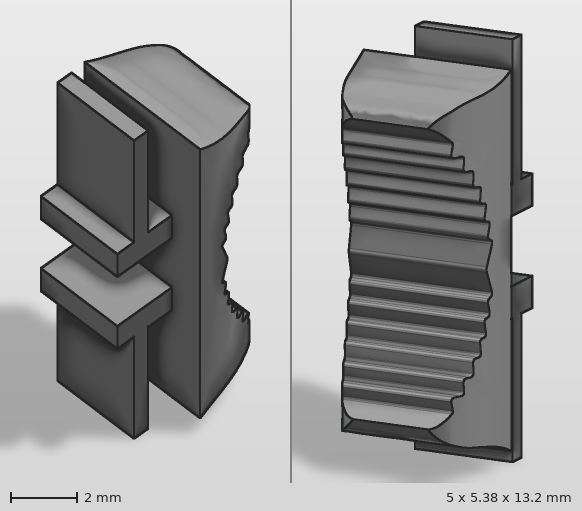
import cadquery as cq

grip_width = 5.0
grip_height = 11.9
grip_depth = 3.08
flat_width = 2.51

tip_height = 4.69
tooth_round = 0.1
center_depth = 1.32
center_round = 0.26

clip_width = 3.31
clip_left_inset = 0.48
total_height = 13.2
bar_bottom = 1.1
bar_thickness = 1.0
bar_length = 2.3
plate_gap = 1.0
plate_thickness = 0.6

end_curve = [
    (0.66, 5.68),
    (1.31, 5.52),
    (2.0, 5.41),
    (2.55, 5.25),
    (2.9, 5.05),
    (grip_depth, tip_height),
]

first_root = (2.61, 4.2)
teeth = [
    ((2.69, 3.74), (2.2, 3.74)),
    ((2.26, 3.22), (1.86, 3.22)),
    ((1.87, 2.68), (1.55, 2.65)),
    ((1.6, 2.11), (1.31, 2.09)),
    ((1.41, 1.55), (1.14, 1.47)),
    ((1.25, 0.98), (1.02, 0.83)),
]

side_curve = [
    (2.27, 1.57),
    (1.95, 2.45),
    (1.83, 2.69),
    (1.7, 2.85),
    (1.56, 2.97),
    (flat_width / 2, grip_depth),
]


def edge_at(depth, height):
    """Selector for the edge along X nearest to a corner of the side profile."""
    return cq.NearestToPointSelector((0, depth, height))


def side_profile():
    """Toothed side profile extruded across the grip, mirrored about mid-height."""
    profile = (
        cq.Workplane("YZ", origin=(-grip_width / 2, 0, 0))
        .moveTo(0, 0)
        .lineTo(0, grip_height / 2)
        .spline(end_curve, includeCurrent=True)
        .lineTo(*first_root)
    )
    corners = [first_root]
    for crest, root in teeth:
        profile = profile.lineTo(*crest).lineTo(*root)
        corners += [crest, root]
    half = profile.lineTo(center_depth, 0).close().extrude(grip_width)
    for corner in corners:
        half = half.edges("|X").edges(edge_at(*corner)).fillet(tooth_round)
    whole = half.union(half.mirror("XY"))
    return whole.edges("|X").edges(edge_at(center_depth, 0)).fillet(center_round)


def plan_profile():
    """Domed plan outline extruded over the grip height."""
    mirrored_curve = [(-x, y) for x, y in reversed(side_curve)]
    left_end = (-grip_width / 2, 0)
    return (
        cq.Workplane("XY", origin=(0, 0, -grip_height / 2))
        .moveTo(grip_width / 2, 0)
        .spline(side_curve, includeCurrent=True)
        .lineTo(*mirrored_curve[0])
        .spline(mirrored_curve[1:] + [left_end], includeCurrent=True)
        .close()
        .extrude(grip_height)
    )


def upper_clip():
    """Bar standing off the grip back, with a thin plate rising from it."""
    left = clip_left_inset - grip_width / 2
    plate_bottom = bar_bottom + bar_thickness
    plate_height = total_height / 2 - plate_bottom
    bar = cq.Workplane("XY").box(clip_width, bar_length, bar_thickness, centered=False)
    bar = bar.translate((left, -bar_length, bar_bottom))
    plate = cq.Workplane("XY").box(clip_width, plate_thickness, plate_height, centered=False)
    plate = plate.translate((left, -plate_gap - plate_thickness, plate_bottom))
    return bar.union(plate)


grip = side_profile().intersect(plan_profile())
clip = upper_clip()
result = grip.union(clip).union(clip.mirror("XY"))